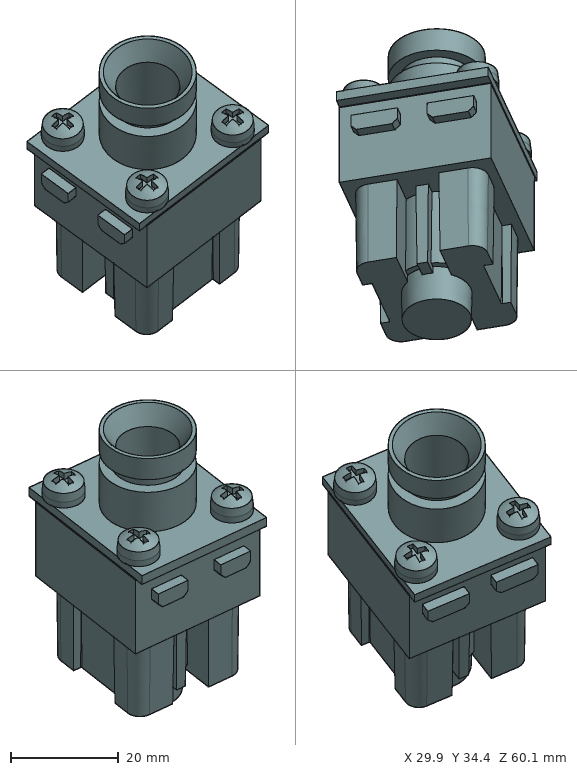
import cadquery as cq
import math

Z_PLUG_TIP = 0.0
Z_SKIRT_BOTTOM = 5.9
Z_CORE_BOTTOM = 7.35
Z_BODY_BOTTOM = 23.6
Z_BODY_TOP = 40.8
Z_PLATE_BOTTOM = 41.0
Z_PLATE_TOP = 43.05
Z_GROOVE_BOTTOM = 52.2
Z_GROOVE_TOP = 55.2
Z_RIM = 60.1
OVERLAP = 0.6

WIDTH_X = 29.2
BODY_Y = 30.3
PLATE_Y = 34.25
SEAM_INSET = 0.1

COLLAR_RADIUS = 9.0
GROOVE_RADIUS = 6.85
BORE_RADIUS = 5.95
MOUTH_RADIUS = 8.25
MOUTH_DEPTH = 3.9
CONE_APEX_Z = 48.1
CONE_HEIGHT = 10.8

SCREW_X = 10.95
SCREW_Y = 11.35
SCREW_DIAMETER = 8.0
SCREW_SHOULDER_RADIUS = 3.8
SCREW_RIM_HEIGHT = 1.4
SCREW_SHOULDER_HEIGHT = 3.25
SCREW_HEIGHT = 4.45
CROSS_LENGTH = 4.5
CROSS_WIDTH = 1.15
CROSS_DEPTH = 1.5

PEG_SPAN_Y = 34.4
PEG_SPACING = 14.65
PEG_WIDTH_FRONT = 7.0
PEG_WIDTH_BACK = 8.95
PEG_TOP = 37.0
PEG_HEIGHT = 3.4
PEG_CHAMFER = 1.0

SKIRT_X = 25.4
SKIRT_Y = 26.4
SKIRT_CORNER = 3.05
SKIRT_DRAFT = 0.2
SKIRT_HEIGHT = Z_BODY_BOTTOM - Z_SKIRT_BOTTOM
NOTCH_WIDTH = 12.15
NOTCH_DEPTH = 1.8
SLOT_WIDTH = 8.05
RIB_WIDTH = 2.4
RIB_SPAN_Y = 20.55

CORE_RADIUS = 7.8
PLUG_TOP_RADIUS = 6.6
PLUG_TIP_RADIUS = 6.45


def block(size_x, size_y, z_bottom, z_top):
    """Box centred on the Z axis between two levels."""
    return cq.Workplane("XY").workplane(offset=z_bottom).rect(size_x, size_y).extrude(z_top - z_bottom)


def frustum(bottom_radius, top_radius, z_bottom, z_top):
    """Cone frustum on the Z axis between two levels."""
    height = z_top - z_bottom
    return cq.Workplane(cq.Solid.makeCone(bottom_radius, top_radius, height, cq.Vector(0, 0, z_bottom)))


def cylinder(radius, z_bottom, z_top):
    """Cylinder on the Z axis between two levels."""
    return cq.Workplane("XY").workplane(offset=z_bottom).circle(radius).extrude(z_top - z_bottom)


def drafted(sketch, lean):
    """Extrude an outline from the body down to the skirt bottom, leaning inward by `lean`."""
    return sketch.extrude(-SKIRT_HEIGHT, taper=math.degrees(math.atan2(lean, SKIRT_HEIGHT)))


def skirt_plane():
    """Plane at the underside of the body, where the skirt starts."""
    return cq.Workplane("XY").workplane(offset=Z_BODY_BOTTOM)


def make_skirt():
    outline = cq.Sketch().rect(SKIRT_X, SKIRT_Y).vertices().fillet(SKIRT_CORNER)
    skirt = drafted(skirt_plane().placeSketch(outline), SKIRT_DRAFT)
    notch_centre = SKIRT_X / 2
    notches = skirt_plane().pushPoints([(-notch_centre, 0), (notch_centre, 0)])
    skirt = skirt.cut(drafted(notches.rect(2 * NOTCH_DEPTH, NOTCH_WIDTH), -SKIRT_DRAFT))
    slot = drafted(skirt_plane().rect(SLOT_WIDTH, SKIRT_Y + 2 * OVERLAP), -SKIRT_DRAFT)
    skirt = skirt.cut(slot)
    core = cylinder(CORE_RADIUS, Z_CORE_BOTTOM, Z_BODY_BOTTOM)
    rib = drafted(skirt_plane().rect(RIB_WIDTH, RIB_SPAN_Y), SKIRT_DRAFT)
    plug = frustum(PLUG_TIP_RADIUS, PLUG_TOP_RADIUS, Z_PLUG_TIP, Z_CORE_BOTTOM + OVERLAP)
    return skirt.union(core).union(rib).union(plug)


def make_housing():
    body = block(WIDTH_X, BODY_Y, Z_BODY_BOTTOM, Z_BODY_TOP)
    seam = block(WIDTH_X - 2 * SEAM_INSET, BODY_Y - 2 * SEAM_INSET, Z_BODY_TOP, Z_PLATE_BOTTOM)
    plate = block(WIDTH_X, PLATE_Y, Z_PLATE_BOTTOM, Z_PLATE_TOP)
    return body.union(seam).union(plate)


def make_pegs(width, side):
    """Pair of pegs on the -Y (side = -1) or +Y (side = 1) wall of the body."""
    half = width / 2
    bottom = PEG_TOP - PEG_HEIGHT
    outline = [
        (-half, PEG_TOP),
        (half, PEG_TOP),
        (half, bottom + PEG_CHAMFER),
        (half - PEG_CHAMFER, bottom),
        (PEG_CHAMFER - half, bottom),
        (-half, bottom + PEG_CHAMFER),
    ]
    length = (PEG_SPAN_Y - BODY_Y) / 2 + OVERLAP
    peg = cq.Workplane("XZ").workplane(offset=-side * PEG_SPAN_Y / 2).polyline(outline).close()
    peg = peg.extrude(side * length)
    shift = PEG_SPACING / 2
    return peg.translate((-shift, 0, 0)).union(peg.translate((shift, 0, 0)))


def make_screw():
    """Screw head with a domed top and a cross recess, standing on the plate."""
    dome_drop = SCREW_HEIGHT - SCREW_SHOULDER_HEIGHT
    dome_radius = (SCREW_SHOULDER_RADIUS**2 + dome_drop**2) / (2 * dome_drop)
    mid_radius = SCREW_SHOULDER_RADIUS / 2
    mid_height = SCREW_HEIGHT - dome_radius + math.sqrt(dome_radius**2 - mid_radius**2)
    head = (
        cq.Workplane("XZ")
        .moveTo(0, 0)
        .lineTo(SCREW_DIAMETER / 2, 0)
        .lineTo(SCREW_DIAMETER / 2, SCREW_RIM_HEIGHT)
        .lineTo(SCREW_SHOULDER_RADIUS, SCREW_SHOULDER_HEIGHT)
        .threePointArc((mid_radius, mid_height), (0, SCREW_HEIGHT))
        .close()
        .revolve(360, (0, 0), (0, 1))
    )
    for size_x, size_y in [(CROSS_LENGTH, CROSS_WIDTH), (CROSS_WIDTH, CROSS_LENGTH)]:
        head = head.cut(block(size_x, size_y, SCREW_HEIGHT - CROSS_DEPTH, SCREW_HEIGHT))
    return head.translate((0, 0, Z_PLATE_TOP))


def make_collar():
    lower = cylinder(COLLAR_RADIUS, Z_PLATE_TOP - OVERLAP, Z_GROOVE_BOTTOM)
    neck = cylinder(GROOVE_RADIUS, Z_GROOVE_BOTTOM - OVERLAP, Z_GROOVE_TOP + OVERLAP)
    upper = cylinder(COLLAR_RADIUS, Z_GROOVE_TOP, Z_RIM)
    return lower.union(neck).union(upper)


def make_bore():
    """Bore with a flared mouth, leaving a pointed cone standing on its floor."""
    floor = CONE_APEX_Z - CONE_HEIGHT
    hole = cylinder(BORE_RADIUS, floor, Z_RIM)
    mouth = frustum(BORE_RADIUS, MOUTH_RADIUS, Z_RIM - MOUTH_DEPTH, Z_RIM)
    cone = frustum(BORE_RADIUS, 0, floor, CONE_APEX_Z)
    return hole.union(mouth).cut(cone)


result = make_housing().union(make_skirt()).union(make_collar()).cut(make_bore())
result = result.union(make_pegs(PEG_WIDTH_FRONT, -1)).union(make_pegs(PEG_WIDTH_BACK, 1))
for x in (-SCREW_X, SCREW_X):
    for y in (-SCREW_Y, SCREW_Y):
        result = result.union(make_screw().translate((x, y, 0)))